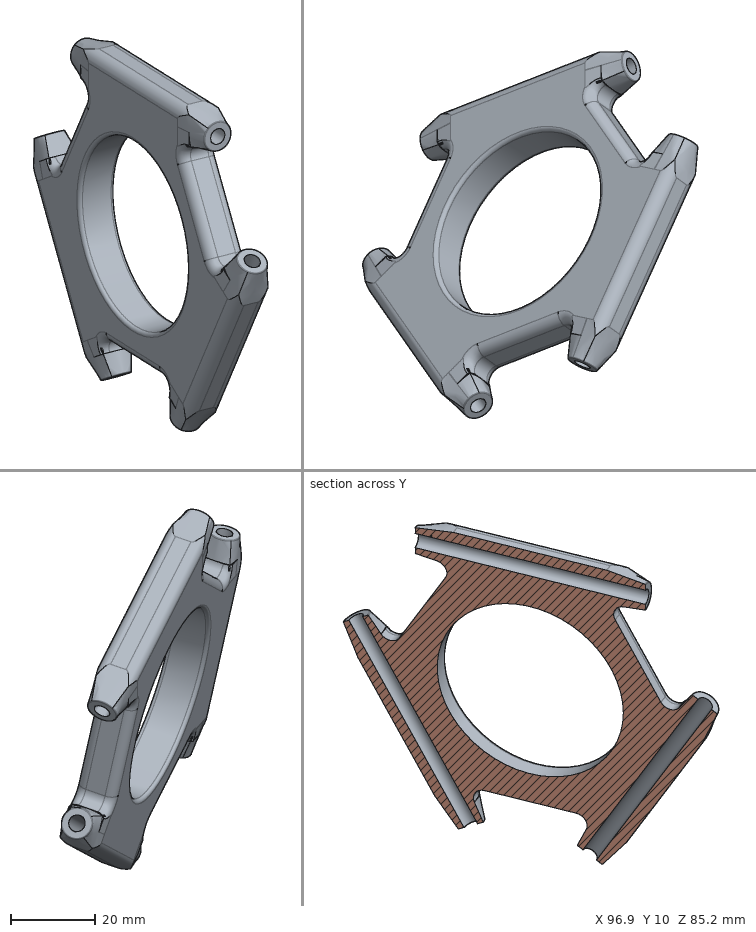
import cadquery as cq
import math

thickness = 10.0
bar_distance = 40.1
bar_half_length = 19.9
bar_round = 3.0
waist_round = 2.5
notch_radius = 2.8
arm_reach = 29.8
tip_radius = 3.8
tip_axis = 35.0
tip_round = 0.2
pin_diameter = 4.0
bore_diameter = 48.0
bore_round = 1.0
bar_angles = (0, 120, 240)

half_thickness = thickness / 2
bar_underside = bar_distance - thickness
tip_underside = tip_axis - tip_radius
arm_length = arm_reach - bar_half_length
waist_slope = math.radians(60)
waist_distance = bar_half_length * math.sin(waist_slope) + bar_underside * math.cos(waist_slope)


def extruded(profile):
    """Extrude a profile in the XZ plane evenly to both sides."""
    return profile.extrude(half_thickness, both=True)


def rounded_section(x, bottom, top):
    """Section across a bar, in the YZ plane at x, rounded at all four corners."""
    diagonal = math.sqrt(0.5)
    bar_cut = bar_round * (1 - diagonal)
    waist_cut = waist_round * (1 - diagonal)
    return (
        cq.Workplane("YZ", origin=(x, 0, 0))
        .moveTo(bar_round - half_thickness, top)
        .lineTo(half_thickness - bar_round, top)
        .threePointArc((half_thickness - bar_cut, top - bar_cut), (half_thickness, top - bar_round))
        .lineTo(half_thickness, bottom + waist_round)
        .threePointArc(
            (half_thickness - waist_cut, bottom + waist_cut),
            (half_thickness - waist_round, bottom),
        )
        .lineTo(waist_round - half_thickness, bottom)
        .threePointArc(
            (waist_cut - half_thickness, bottom + waist_cut),
            (-half_thickness, bottom + waist_round),
        )
        .lineTo(-half_thickness, top - bar_round)
        .threePointArc((bar_cut - half_thickness, top - bar_cut), (bar_round - half_thickness, top))
        .close()
    )


def make_core():
    """Plate bounded by three strips, each with a bar side opposite a waist side."""
    half_span = 2 * bar_distance
    strip = rounded_section(-half_span, -waist_distance, bar_distance).extrude(2 * half_span)
    core = strip
    for angle in bar_angles[1:]:
        core = core.intersect(strip.rotate((0, 0, 0), (0, 1, 0), angle))
    return core


def make_bar():
    return rounded_section(-bar_half_length, bar_underside, bar_distance).extrude(2 * bar_half_length)


def make_arm():
    """Square-to-round arm whose corners are trimmed to the rounding of the bar."""
    bar_axis = bar_distance - half_thickness
    taper = (
        cq.Workplane("YZ", origin=(bar_half_length, 0, bar_axis))
        .rect(thickness, thickness)
        .workplane(offset=arm_length)
        .center(0, tip_axis - bar_axis)
        .circle(tip_radius)
        .loft()
    )
    taper = taper.faces(">X").edges().fillet(tip_round)
    rounding = rounded_section(bar_half_length, bar_underside, bar_distance).extrude(arm_length)
    return taper.intersect(rounding)


def make_notch_web():
    """Concave rounded corner between the underside of an arm and the waist."""
    arm_slope = math.atan2(tip_underside - bar_underside, arm_length)
    half_angle = (arm_slope + waist_slope) / 2
    bisector = (arm_slope - waist_slope) / 2
    tangent_length = notch_radius / math.tan(half_angle)
    center_distance = notch_radius / math.sin(half_angle)

    def from_corner(distance, direction):
        return (
            bar_half_length + distance * math.cos(direction),
            bar_underside + distance * math.sin(direction),
        )

    on_waist = from_corner(tangent_length, -waist_slope)
    on_arm = from_corner(tangent_length, arm_slope)
    arc_middle = from_corner(center_distance - notch_radius, bisector)
    inner = (
        on_waist[0] - bar_half_length / 2 * math.sin(waist_slope),
        on_waist[1] - bar_half_length / 2 * math.cos(waist_slope),
    )
    web = extruded(
        cq.Workplane("XZ")
        .moveTo(*on_waist)
        .threePointArc(arc_middle, on_arm)
        .lineTo(on_arm[0], tip_axis)
        .lineTo(inner[0], tip_axis)
        .lineTo(*inner)
        .close()
    )
    web = web.faces("<Y or >Y").edges("%CIRCLE").fillet(waist_round)
    envelope = (
        cq.Workplane("XY")
        .polyline([
            (0, -half_thickness),
            (bar_half_length, -half_thickness),
            (arm_reach, -tip_radius),
            (arm_reach, tip_radius),
            (bar_half_length, half_thickness),
            (0, half_thickness),
        ])
        .close()
        .extrude(bar_distance)
    )
    return web.intersect(envelope)


def make_body():
    arm_side = make_arm().union(make_notch_web())
    outer = make_bar().union(arm_side).union(arm_side.mirror("YZ"))
    body = make_core()
    for angle in bar_angles:
        body = body.union(outer.rotate((0, 0, 0), (0, 1, 0), angle))
    return body


def cut_bore(body):
    """Central bore with a rounded rim on both faces."""
    bore_radius = bore_diameter / 2
    rim_radius = bore_radius + bore_round
    rim_cut = bore_round * (1 - math.sqrt(0.5))
    cutter = (
        cq.Workplane("XY")
        .moveTo(0, -half_thickness)
        .lineTo(rim_radius, -half_thickness)
        .threePointArc(
            (bore_radius + rim_cut, rim_cut - half_thickness),
            (bore_radius, bore_round - half_thickness),
        )
        .lineTo(bore_radius, half_thickness - bore_round)
        .threePointArc(
            (bore_radius + rim_cut, half_thickness - rim_cut),
            (rim_radius, half_thickness),
        )
        .lineTo(0, half_thickness)
        .close()
        .revolve(360, (0, 0, 0), (0, 1, 0))
    )
    return body.cut(cutter)


def cut_pin_holes(body):
    """One straight hole along each bar, from arm tip to arm tip."""
    pin = (
        cq.Workplane("YZ", origin=(-arm_reach, 0, tip_axis))
        .circle(pin_diameter / 2)
        .extrude(2 * arm_reach)
    )
    for angle in bar_angles:
        body = body.cut(pin.rotate((0, 0, 0), (0, 1, 0), angle))
    return body


result = cut_pin_holes(cut_bore(make_body()))